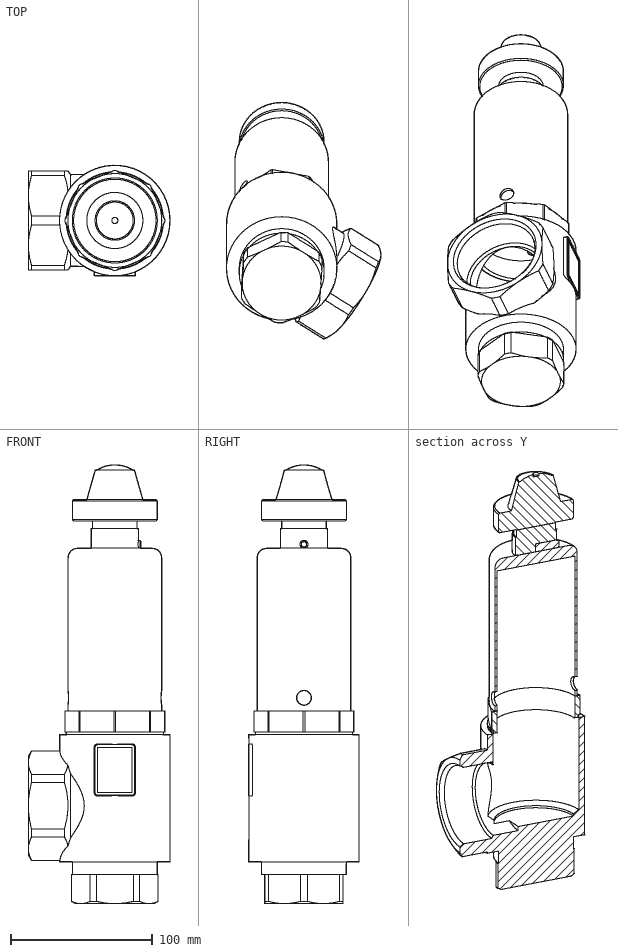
import cadquery as cq
import math


BODY_RADIUS = 39.0
BODY_BOTTOM = 29.5
BODY_TOP = 119.5
CAVITY_RADIUS = 34.0
CAVITY_FLOOR = 45.5
CAVITY_BEVEL_FOOT = 47.0
CAVITY_WALL_FOOT = 49.5
CAVITY_FLOOR_RADIUS = 29.8

INLET_FLATS = 55.5
INLET_CORNER_RADIUS = 30.7
INLET_HEX_TOP = 20.5
INLET_CHAMFER_RADIUS = 28.0
INLET_CHAMFER_HEIGHT = 1.5
INLET_NECK_RADIUS = 30.0

OUTLET_REACH = 61.0
OUTLET_LEVEL = 69.0
OUTLET_FLATS = 70.0
OUTLET_CORNER_RADIUS = 38.8
OUTLET_HEX_LENGTH = 29.8
OUTLET_CHAMFER_RADIUS = 35.0
OUTLET_CHAMFER_LENGTH = 2.2
OUTLET_BACK_CHAMFER_LENGTH = 4.3
OUTLET_NECK_RADIUS = 32.5
THREAD_RADIUS = 28.8
THREAD_DEPTH = 25.5
BORE_SHOULDER_LENGTH = 1.2
THREAD_MOUTH_RADIUS = 30.7
THREAD_MOUTH_DEPTH = 3.0
OUTLET_BORE_RADIUS = 26.7
OUTLET_BORE_DEPTH = 46.5

PLATE_WIDTH = 29.0
PLATE_BOTTOM = 76.0
PLATE_TOP = 112.8
PLATE_FACE = 39.5
PLATE_CORNER_RADIUS = 2.5
PLATE_EDGE_CHAMFER = 0.5
PLATE_RIM = 2.5
PLATE_RECESS = 0.5

NUT_FLATS = 65.7
NUT_CORNER_RADIUS = 35.3
NUT_SIDES = 8
NUT_BOTTOM = 121.2
NUT_TOP = 136.0
NUT_COLLAR_RADIUS = 34.5
NUT_BORE_RADIUS = 31.0

BONNET_RADIUS = 33.2
BONNET_TOP = 251.0
BONNET_FILLET = 6.8
BONNET_ROOF = 9.3
VENT_DIAMETER = 10.2
VENT_LEVEL = 145.5

SPINDLE_RADIUS = 16.7
SPINDLE_STEP = 265.0
SPINDLE_TIP_RADIUS = 15.8

DISC_RADIUS = 30.0
DISC_BOTTOM = 270.3
DISC_TOP = 285.5
DISC_CHAMFER = 1.0
CONE_FOOT_RADIUS = 19.8
CONE_TOP_RADIUS = 14.0
CONE_TOP = 306.3
DOME_FOOT_RADIUS = 13.0
CAP_TOP = 310.0
DIMPLE_RADIUS = 2.2
DIMPLE_DEPTH = 2.0

PIN_RADIUS = 2.8
PIN_REACH = 18.5
PIN_CHAMFER = 1.0


def cylinder(radius, bottom, top):
    return cq.Workplane("XY").workplane(offset=bottom).circle(radius).extrude(top - bottom)


def hexagon(flats, length):
    """Hexagonal prism on Z with two corners on the X axis."""
    across_corners = flats / math.cos(math.pi / 6)
    return cq.Workplane("XY").polygon(6, across_corners).extrude(length)


def revolve_profile(points):
    """Solid of revolution about Z from (radius, height) points, closed along the axis."""
    return cq.Workplane("XZ").polyline(points).close().revolve(360, (0, 0, 0), (0, 1, 0))


def point_to_outlet(shape):
    """Stand a shape built up Z from the origin on the outlet face, running inwards along +X."""
    turned = shape.rotate((0, 0, 0), (0, 1, 0), 90)
    return turned.translate((-OUTLET_REACH, 0, OUTLET_LEVEL))


def make_inlet():
    """Wrench hexagon with a chamfered foot, and the round neck that joins it to the housing."""
    barrel = revolve_profile([
        (0, 0),
        (INLET_CHAMFER_RADIUS, 0),
        (INLET_CORNER_RADIUS, INLET_CHAMFER_HEIGHT),
        (INLET_CORNER_RADIUS, INLET_HEX_TOP),
        (0, INLET_HEX_TOP),
    ])
    hex_end = hexagon(INLET_FLATS, INLET_HEX_TOP).intersect(barrel)
    return hex_end.union(cylinder(INLET_NECK_RADIUS, INLET_HEX_TOP, BODY_BOTTOM))


def make_outlet():
    """Wrench hexagon chamfered at its mouth and down to the round neck behind it."""
    barrel = revolve_profile([
        (0, 0),
        (OUTLET_CHAMFER_RADIUS, 0),
        (OUTLET_CORNER_RADIUS, OUTLET_CHAMFER_LENGTH),
        (OUTLET_CORNER_RADIUS, OUTLET_HEX_LENGTH - OUTLET_BACK_CHAMFER_LENGTH),
        (OUTLET_NECK_RADIUS, OUTLET_HEX_LENGTH),
        (0, OUTLET_HEX_LENGTH),
    ])
    hex_end = hexagon(OUTLET_FLATS, OUTLET_HEX_LENGTH).intersect(barrel)
    neck = cylinder(OUTLET_NECK_RADIUS, OUTLET_HEX_LENGTH, OUTLET_REACH)
    return point_to_outlet(hex_end.union(neck))


def make_outlet_bore():
    """Countersunk thread bore that narrows at a conical shoulder and opens into the valve chamber."""
    bore = revolve_profile([
        (0, 0),
        (THREAD_MOUTH_RADIUS, 0),
        (THREAD_RADIUS, THREAD_MOUTH_DEPTH),
        (THREAD_RADIUS, THREAD_DEPTH),
        (OUTLET_BORE_RADIUS, THREAD_DEPTH + BORE_SHOULDER_LENGTH),
        (OUTLET_BORE_RADIUS, OUTLET_BORE_DEPTH),
        (0, OUTLET_BORE_DEPTH),
    ])
    return point_to_outlet(bore)


def make_cavity():
    """Valve chamber, open at the top, with a bevel that steps in to a shallow floor well."""
    return revolve_profile([
        (0, CAVITY_FLOOR),
        (CAVITY_FLOOR_RADIUS, CAVITY_FLOOR),
        (CAVITY_FLOOR_RADIUS, CAVITY_BEVEL_FOOT),
        (CAVITY_RADIUS, CAVITY_WALL_FOOT),
        (CAVITY_RADIUS, BODY_TOP),
        (0, BODY_TOP),
    ])


def make_plate():
    """Plate block reaching out from the valve axis, and the shallow panel cut into its face."""
    height = PLATE_TOP - PLATE_BOTTOM
    middle = (PLATE_TOP + PLATE_BOTTOM) / 2
    plate = (
        cq.Workplane("XZ")
        .center(0, middle)
        .rect(PLATE_WIDTH, height)
        .extrude(PLATE_FACE)
        .edges("|Y")
        .fillet(PLATE_CORNER_RADIUS)
        .faces("<Y")
        .edges()
        .chamfer(PLATE_EDGE_CHAMFER)
    )
    recess = (
        cq.Workplane("XZ")
        .workplane(offset=PLATE_FACE - PLATE_RECESS)
        .center(0, middle)
        .rect(PLATE_WIDTH - 2 * PLATE_RIM, height - 2 * PLATE_RIM)
        .extrude(PLATE_RECESS)
    )
    return plate, recess


def make_housing():
    barrel = cylinder(BODY_RADIUS, BODY_BOTTOM, BODY_TOP)
    plate, recess = make_plate()
    solid = barrel.union(make_inlet()).union(make_outlet()).union(plate)
    return solid.cut(recess).cut(make_cavity()).cut(make_outlet_bore())


def make_nut():
    across_corners = NUT_FLATS / math.cos(math.pi / NUT_SIDES)
    octagon = (
        cq.Workplane("XY")
        .workplane(offset=NUT_BOTTOM)
        .polygon(NUT_SIDES, across_corners)
        .extrude(NUT_TOP - NUT_BOTTOM)
        .intersect(cylinder(NUT_CORNER_RADIUS, NUT_BOTTOM, NUT_TOP))
    )
    collar = cylinder(NUT_COLLAR_RADIUS, BODY_TOP, NUT_BOTTOM)
    return octagon.union(collar).cut(cylinder(NUT_BORE_RADIUS, BODY_TOP, NUT_TOP))


def make_bonnet():
    shell = cylinder(BONNET_RADIUS, NUT_TOP, BONNET_TOP).faces(">Z").edges().fillet(BONNET_FILLET)
    hollow = cylinder(NUT_BORE_RADIUS, NUT_TOP, BONNET_TOP - BONNET_ROOF)
    vent = (
        cq.Workplane("YZ")
        .center(0, VENT_LEVEL)
        .circle(VENT_DIAMETER / 2)
        .extrude(BONNET_RADIUS, both=True)
    )
    return shell.cut(hollow).cut(vent)


def make_pin():
    """Radial pin that lies on the bonnet and enters the spindle from +X."""
    return (
        cq.Workplane("YZ")
        .center(0, BONNET_TOP + PIN_RADIUS)
        .circle(PIN_RADIUS)
        .extrude(PIN_REACH)
        .faces(">X")
        .edges()
        .chamfer(PIN_CHAMFER)
    )


def make_spindle():
    lower = cylinder(SPINDLE_RADIUS, BONNET_TOP, SPINDLE_STEP)
    upper = cylinder(SPINDLE_TIP_RADIUS, SPINDLE_STEP, DISC_BOTTOM)
    return lower.union(upper).cut(make_pin())


def dome_middle_point():
    """Point halfway along the dome's arc, whose centre lies on the axis below the dome."""
    rise = CAP_TOP - CONE_TOP
    centre_depth = (DOME_FOOT_RADIUS**2 - DIMPLE_RADIUS**2 + rise**2) / (2 * rise)
    dome_radius = math.hypot(DIMPLE_RADIUS, centre_depth)
    rim_angle = math.asin(DIMPLE_RADIUS / dome_radius)
    foot_angle = math.asin(DOME_FOOT_RADIUS / dome_radius)
    middle_angle = (rim_angle + foot_angle) / 2
    return (
        dome_radius * math.sin(middle_angle),
        CAP_TOP - centre_depth + dome_radius * math.cos(middle_angle),
    )


def make_cap():
    """Chamfered disc under a conical knob, whose dimpled dome is set in by a narrow ledge."""
    disc = cylinder(DISC_RADIUS, DISC_BOTTOM, DISC_TOP).edges().chamfer(DISC_CHAMFER)
    knob = (
        cq.Workplane("XZ")
        .moveTo(0, DISC_TOP)
        .lineTo(CONE_FOOT_RADIUS, DISC_TOP)
        .lineTo(CONE_TOP_RADIUS, CONE_TOP)
        .lineTo(DOME_FOOT_RADIUS, CONE_TOP)
        .threePointArc(dome_middle_point(), (DIMPLE_RADIUS, CAP_TOP))
        .lineTo(DIMPLE_RADIUS, CAP_TOP - DIMPLE_DEPTH)
        .lineTo(0, CAP_TOP - DIMPLE_DEPTH)
        .close()
        .revolve(360, (0, 0, 0), (0, 1, 0))
    )
    return disc.union(knob)


housing = make_housing()
nut = make_nut()
bonnet = make_bonnet()
spindle = make_spindle()
pin = make_pin()
cap = make_cap()

result = cq.Compound.makeCompound(
    [housing.val(), nut.val(), bonnet.val(), spindle.val(), pin.val(), cap.val()]
)